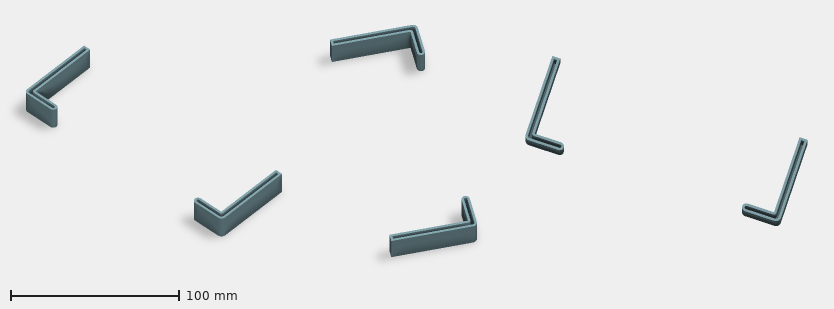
import cadquery as cq

overall_width = 160.0
arm_length = 53.0
height = 15.0

foot_length = 24.0
thickness = 5.0
wall = 1.5
floor = wall
heel_radius = 3.0
toe_radius = thickness / 2


def outline(height_above_base):
    """Closed L outline with its heel at the origin, a rounded heel and a fully rounded toe."""
    heel_diagonal = heel_radius * (1 - 0.5 ** 0.5)
    return (
        cq.Workplane("XY")
        .workplane(offset=height_above_base)
        .moveTo(0, arm_length)
        .lineTo(0, heel_radius)
        .threePointArc((heel_diagonal, heel_diagonal), (heel_radius, 0))
        .lineTo(foot_length - toe_radius, 0)
        .threePointArc((foot_length, toe_radius), (foot_length - toe_radius, thickness))
        .lineTo(thickness, thickness)
        .lineTo(thickness, arm_length)
        .close()
    )


def make_left_bracket():
    """Bracket with a groove open at the top, following the outline one wall thickness inside."""
    body = outline(0).extrude(height)
    groove = outline(floor).offset2D(-wall).extrude(height - floor)
    return body.cut(groove).translate((-overall_width / 2, 0, 0))


left_bracket = make_left_bracket()
brackets = [left_bracket, left_bracket.mirror("YZ")]

result = cq.Compound.makeCompound([bracket.val() for bracket in brackets])